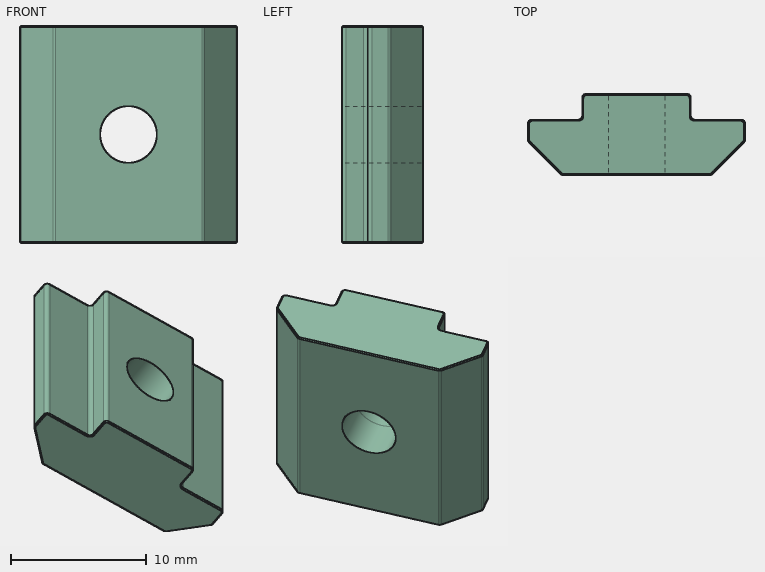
import cadquery as cq

width = 16.0
depth = 6.0
length = 16.0

stem_width = 8.0
stem_height = 1.9
bevel = 2.5
corner_radius = 0.3
end_chamfer = 0.1
hole_diameter = 4.16

front_y = -depth / 2
back_y = depth / 2
shoulder_y = back_y - stem_height


def make_body():
    """T-shaped profile extruded along Z, with rounded edges and chamfered ends."""
    right_half = [
        (width / 2 - bevel, front_y),
        (width / 2, front_y + bevel),
        (width / 2, shoulder_y),
        (stem_width / 2, shoulder_y),
        (stem_width / 2, back_y),
    ]
    left_half = [(-x, y) for x, y in reversed(right_half)]
    body = cq.Workplane("XY").polyline(right_half + left_half).close().extrude(length / 2, both=True)
    body = body.edges("|Z").fillet(corner_radius)
    return body.faces("<Z or >Z").chamfer(end_chamfer)


def make_hole():
    """Cylinder through the whole depth at the centre of the front face."""
    return cq.Workplane("XZ").circle(hole_diameter / 2).extrude(depth, both=True)


result = make_body().cut(make_hole())